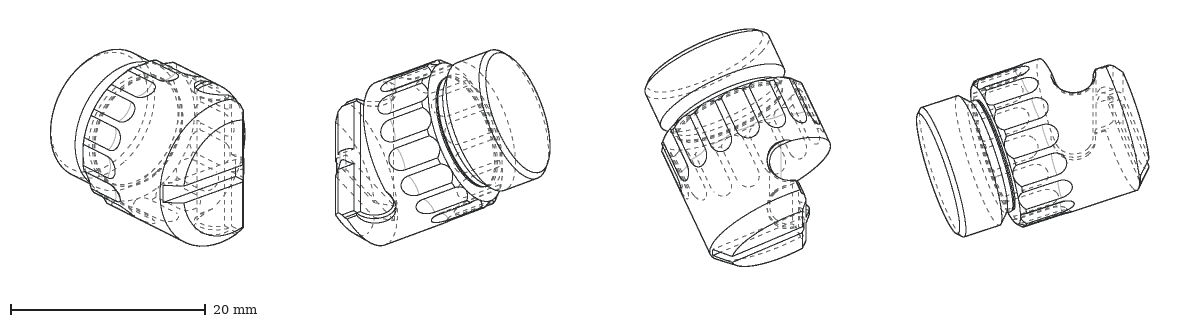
import cadquery as cq
import math

LENGTH = 20.8
BODY_RADIUS = 8.0
STUB_RADIUS = 7.0
STUB_CHAMFER = 0.5
STUB_STRAIGHT_END = 4.43
NECK_RADIUS = 6.01
NECK_STEP_START = 6.0
NECK_STEP_LENGTH = 0.15
NECK_STEP_DEPTH = 0.08
BODY_START = 6.28
BODY_CHAMFER = 0.5
END_CHAMFER = 1.7

FLUTE_COUNT = 16
FLUTE_RADIUS = 2.0
FLUTE_CENTER_RADIUS = 9.5
FLUTE_END = 10.65

THROAT_RADIUS = 2.0
THROAT_X = 15.7
THROAT_Y = 2.43
HOOK_FOOT_DROP = 0.5
HOOK_PEAK_X = 19.07
HOOK_PEAK_Y = 3.37
HOOK_PEAK_FILLET = 0.45

RELIEF_START = 7.15
RELIEF_WIDENING = 0.25

SLOT_WIDTH = 1.93
SLOT_FLOOR_X = 19.3
SLOT_WALL_Y = 2.0

CLEAR = 12.48
FAR_X = LENGTH + CLEAR


def turned_body():
    neck_start = STUB_STRAIGHT_END + STUB_RADIUS - NECK_RADIUS
    step_radius = NECK_RADIUS - NECK_STEP_DEPTH
    outline = [
        (0, 0),
        (0, STUB_RADIUS - STUB_CHAMFER),
        (STUB_CHAMFER, STUB_RADIUS),
        (STUB_STRAIGHT_END, STUB_RADIUS),
        (neck_start, NECK_RADIUS),
        (NECK_STEP_START, NECK_RADIUS),
        (NECK_STEP_START + NECK_STEP_LENGTH, step_radius),
        (BODY_START, step_radius),
        (BODY_START, BODY_RADIUS - BODY_CHAMFER),
        (BODY_START + BODY_CHAMFER, BODY_RADIUS),
        (LENGTH - END_CHAMFER, BODY_RADIUS),
        (LENGTH, BODY_RADIUS - END_CHAMFER),
        (LENGTH, 0),
    ]
    return cq.Workplane("XY").polyline(outline).close().revolve(360, (0, 0), (1, 0))


def flute(angle):
    straight = cq.Workplane("YZ", origin=(BODY_START, 0, 0)).center(0, FLUTE_CENTER_RADIUS)
    straight = straight.circle(FLUTE_RADIUS).extrude(FLUTE_END - BODY_START)
    round_end = cq.Workplane("XY").sphere(FLUTE_RADIUS).translate((FLUTE_END, 0, FLUTE_CENTER_RADIUS))
    return straight.union(round_end).rotate((0, 0, 0), (1, 0, 0), angle)


def throat_outline(plane, radius, ledge_y):
    """Half-round throat with a straight left wall and a level ledge on the right."""
    ledge_x = THROAT_X + math.sqrt(radius**2 - (THROAT_Y - ledge_y) ** 2)
    return (
        plane.moveTo(THROAT_X - radius, CLEAR)
        .lineTo(THROAT_X - radius, THROAT_Y)
        .threePointArc((THROAT_X, THROAT_Y - radius), (ledge_x, ledge_y))
        .lineTo(FAR_X, ledge_y)
        .lineTo(FAR_X, CLEAR)
        .close()
    )


def hook_opening():
    """Opening that leaves the pointed hook, cut through the whole part."""
    foot_y = THROAT_Y - HOOK_FOOT_DROP
    foot_x = THROAT_X + math.sqrt(THROAT_RADIUS**2 - HOOK_FOOT_DROP**2)
    plane = cq.Workplane("XY", origin=(0, 0, -CLEAR))
    opening = (
        plane.moveTo(THROAT_X - THROAT_RADIUS, CLEAR)
        .lineTo(THROAT_X - THROAT_RADIUS, THROAT_Y)
        .threePointArc((THROAT_X, THROAT_Y - THROAT_RADIUS), (foot_x, foot_y))
        .lineTo(HOOK_PEAK_X, HOOK_PEAK_Y)
        .lineTo(FAR_X, HOOK_PEAK_Y - (FAR_X - HOOK_PEAK_X))
        .lineTo(FAR_X, CLEAR)
        .close()
        .extrude(2 * CLEAR)
    )
    peak = cq.selectors.NearestToPointSelector((HOOK_PEAK_X, HOOK_PEAK_Y, 0))
    return opening.edges("|Z").edges(peak).fillet(HOOK_PEAK_FILLET)


def tip_shoulders():
    """Lowers the hook beside a half-round tongue lying along X."""
    plane = cq.Workplane("XY", origin=(0, 0, -CLEAR))
    shoulders = throat_outline(plane, THROAT_RADIUS, THROAT_Y).extrude(2 * CLEAR)
    tongue = cq.Workplane("YZ").center(THROAT_Y, 0).circle(SLOT_WIDTH / 2).extrude(FAR_X)
    return shoulders.cut(tongue)


def throat_relief():
    """Wider throat above a 45 degree step, for the +Z side."""
    bottom = cq.Workplane("XY", origin=(0, 0, RELIEF_START))
    top = cq.Workplane("XY", origin=(0, 0, RELIEF_START + RELIEF_WIDENING))
    step = throat_outline(bottom, THROAT_RADIUS, THROAT_Y).extrude(RELIEF_WIDENING, taper=-45)
    wide = throat_outline(top, THROAT_RADIUS + RELIEF_WIDENING, THROAT_Y - RELIEF_WIDENING)
    return step.union(wide.extrude(CLEAR))


def end_slot():
    """Slot in the end face, open toward -Y."""
    slot = cq.Workplane("XY").box(CLEAR, CLEAR, SLOT_WIDTH, centered=(False, False, True))
    return slot.translate((SLOT_FLOOR_X, SLOT_WALL_Y - CLEAR, 0))


result = turned_body()
for index in range(FLUTE_COUNT):
    result = result.cut(flute(index * 360 / FLUTE_COUNT))

relief = throat_relief()
for cutter in (hook_opening(), tip_shoulders(), relief, relief.mirror("XY"), end_slot()):
    result = result.cut(cutter)